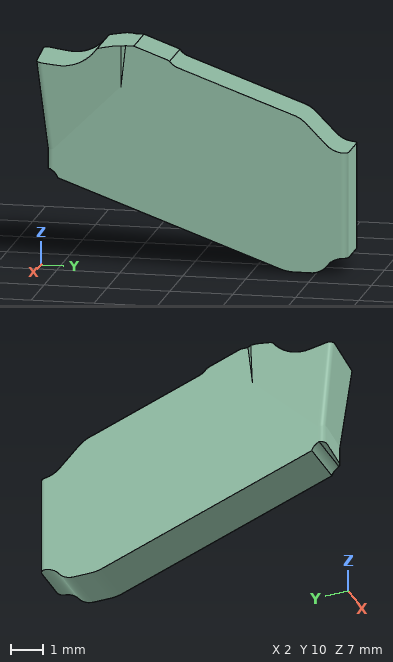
import cadquery as cq
import math

BODY_WIDTH = 1.6
LENGTH = 10.0
HEIGHT = 7.0
SEAT_ANGLE = 20.0
SEAT_SLOPE = math.tan(math.radians(SEAT_ANGLE))
CORNER_RADIUS = 0.2

EDGE_Z = 6.41
LAND_Y = 0.2
LAND_Z = 6.38
RAKE_Y = 0.94
RAKE_Z = 6.29
CREST_FRONT_Y = 2.65
CREST_BACK_Y = 3.2
SEAT_FRONT_Y = 4.55
SEAT_FRONT_Z = 6.39
SEAT_BACK_Y = 8.2
SEAT_BACK_Z = SEAT_FRONT_Z - (SEAT_BACK_Y - SEAT_FRONT_Y) * SEAT_SLOPE
TAIL_TOP_Z = 3.89
TAIL_BOTTOM_Z = 0.51
TAIL_LAND_Y = 9.9
FOOT_Y = 7.93
FOOT_Z = 0.05
HEEL_Y = 0.78
HEEL_Z = FOOT_Z + (FOOT_Y - HEEL_Y) * SEAT_SLOPE
HEEL_TOP_Y = 0.53
HEEL_TOP_Z = 2.92

SKEW_ANGLE = 4.0
SKEW_PIVOT_X = -0.8
CLEARANCE_FOOT_Y = 0.34
CLEARANCE_FOOT_Z = 3.54

FLANK_BACK_Y = 2.79
FLANK_BACK_Z = 5.67
FLANK_FRONT_Y = 0.56
FLANK_FRONT_Z = 3.48
FLANK_FLARE = 0.063
RAMP_TOP_Y = 2.94
RAMP_CREST_Y = 2.81
HEAD_DEPTH = 3.0
HEAD_RISE = 6.0

MARGIN = 0.5
HEAD_WIDTH = BODY_WIDTH + 2 * MARGIN


def side_profile():
    """Closed side outline, left overlong at the front."""
    rake_slope = (EDGE_Z - LAND_Z) / LAND_Y
    return (
        cq.Workplane("YZ", origin=(-HEAD_WIDTH / 2, 0, 0))
        .moveTo(-MARGIN, EDGE_Z + MARGIN * rake_slope)
        .lineTo(LAND_Y, LAND_Z)
        .threePointArc((0.56, 6.33), (RAKE_Y, RAKE_Z))
        .threePointArc((1.6, 6.47), (2.03, 6.86))
        .threePointArc((2.09, 6.9), (2.17, 6.92))
        .lineTo(2.56, 6.99)
        .lineTo(CREST_FRONT_Y, HEIGHT)
        .lineTo(CREST_BACK_Y, HEIGHT)
        .lineTo(4.26, 6.61)
        .lineTo(4.34, 6.57)
        .threePointArc((4.43, 6.47), (SEAT_FRONT_Y, SEAT_FRONT_Z))
        .lineTo(SEAT_BACK_Y, SEAT_BACK_Z)
        .threePointArc((8.32, 5.02), (8.41, 4.98))
        .lineTo(8.48, 4.94)
        .threePointArc((8.58, 4.87), (8.67, 4.79))
        .lineTo(9.33, 4.12)
        .threePointArc((9.59, 3.95), (TAIL_LAND_Y, TAIL_TOP_Z))
        .lineTo(LENGTH, TAIL_TOP_Z)
        .lineTo(LENGTH, TAIL_BOTTOM_Z)
        .lineTo(TAIL_LAND_Y, TAIL_BOTTOM_Z)
        .threePointArc((9.6, 0.45), (9.37, 0.28))
        .threePointArc((9.15, 0.08), (8.87, 0))
        .lineTo(8.32, 0)
        .threePointArc((8.13, 0.01), (FOOT_Y, FOOT_Z))
        .lineTo(HEEL_Y, HEEL_Z)
        .threePointArc((0.68, 2.82), (HEEL_TOP_Y, HEEL_TOP_Z))
        .lineTo(-MARGIN, HEEL_TOP_Z)
        .close()
    )


def front_cutter():
    """Skewed block that trims the front to its clearance face."""
    clearance_slope = CLEARANCE_FOOT_Y / (EDGE_Z - CLEARANCE_FOOT_Z)
    top_z = HEIGHT + MARGIN
    return (
        cq.Workplane("YZ", origin=(-HEAD_WIDTH, 0, 0))
        .moveTo(-2 * MARGIN, 0)
        .lineTo(CLEARANCE_FOOT_Y, 0)
        .lineTo(CLEARANCE_FOOT_Y, CLEARANCE_FOOT_Z)
        .lineTo((EDGE_Z - top_z) * clearance_slope, top_z)
        .lineTo(-2 * MARGIN, top_z)
        .close()
        .extrude(2 * HEAD_WIDTH)
        .rotate((SKEW_PIVOT_X, 0, 0), (SKEW_PIVOT_X, 0, 1), SKEW_ANGLE)
    )


def rounded_nose(solid):
    """Trim the front of a solid and round its upright front corners."""
    trimmed = solid.cut(front_cutter())
    front_zone = cq.selectors.BoxSelector(
        (-HEAD_WIDTH, -2 * MARGIN, -MARGIN),
        (HEAD_WIDTH, 2 * MARGIN, HEIGHT + 2 * MARGIN),
    )
    return trimmed.edges(front_zone).edges("not #Z").fillet(CORNER_RADIUS)


def body():
    """Parallel-sided slab with rounded tail and nose corners."""
    slab = (
        cq.Workplane()
        .box(BODY_WIDTH, LENGTH + MARGIN, HEIGHT, centered=(True, False, False))
        .translate((0, -MARGIN, 0))
        .faces(">Y")
        .edges("|Z")
        .fillet(CORNER_RADIUS)
    )
    return rounded_nose(slab)


def ramp_cutter():
    """Block behind the sloping rear end of the +X flank."""
    back_corner = cq.Vector(BODY_WIDTH / 2, FLANK_BACK_Y, FLANK_BACK_Z)
    crest_base = cq.Vector(BODY_WIDTH / 2, RAMP_TOP_Y, HEIGHT)
    crest_flare = FLANK_FLARE * (HEIGHT - FLANK_BACK_Z)
    crest_outer = cq.Vector(BODY_WIDTH / 2 + crest_flare, RAMP_CREST_Y, HEIGHT)
    upward = crest_base - back_corner
    outward = crest_outer - crest_base
    ramp_plane = cq.Plane(origin=back_corner, xDir=upward, normal=upward.cross(outward))
    return cq.Workplane(ramp_plane).rect(4 * LENGTH, 4 * LENGTH).extrude(2 * LENGTH)


def head():
    """Wedge that widens square to the flank lines and has a ramp behind each flank."""
    line_angle = math.atan2(FLANK_BACK_Z - FLANK_FRONT_Z, FLANK_BACK_Y - FLANK_FRONT_Y)
    flare = FLANK_FLARE / math.cos(line_angle)
    half_width = BODY_WIDTH / 2
    section_plane = cq.Plane(
        origin=(0, FLANK_BACK_Y, FLANK_BACK_Z),
        xDir=(1, 0, 0),
        normal=(0, -math.cos(line_angle), -math.sin(line_angle)),
    )
    wedge = (
        cq.Workplane(section_plane)
        .moveTo(-half_width + flare * HEAD_DEPTH, -HEAD_DEPTH)
        .lineTo(half_width - flare * HEAD_DEPTH, -HEAD_DEPTH)
        .lineTo(half_width + flare * HEAD_RISE, HEAD_RISE)
        .lineTo(-half_width - flare * HEAD_RISE, HEAD_RISE)
        .close()
        .extrude(LENGTH, both=True)
    )
    slab = cq.Workplane().box(2 * HEAD_WIDTH, LENGTH, HEIGHT, centered=(True, True, False))
    ramp = ramp_cutter()
    return rounded_nose(wedge.intersect(slab)).cut(ramp).cut(ramp.mirror("YZ"))


result = body().union(head()).intersect(side_profile().extrude(HEAD_WIDTH))